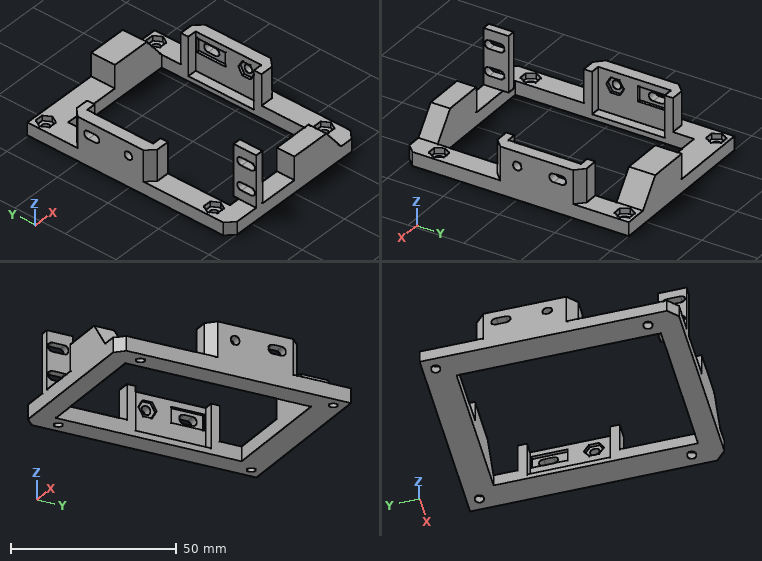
import cadquery as cq
import math

frame_width = 60.0
frame_length = 80.5
base_thickness = 5.0
side_rail = 8.0
front_rail = 7.0
rear_rail = 9.5
corner_chamfer = 3.0

hexagon_sides = 6
nut_across_flats = 5.4
nut_across_corners = nut_across_flats / math.cos(math.pi / hexagon_sides)

screw_diameter = 2.8
screw_inset = 4.0
front_screw_y = 10.0
base_nut_depth = 2.0

cradle_start_y = 31.5
cradle_length = 32.0
cradle_height = 12.0
cradle_chamfer = 3.0
cradle_wall = 4.5
cradle_end_wall = 3.0
cradle_recess_floor = 2.0
cradle_center_y = cradle_start_y + cradle_length / 2
cradle_top = base_thickness + cradle_height

wall_fixing_z = 12.0
wall_hole_diameter = 3.0
wall_hole_y = cradle_center_y - 7.0
wall_slot_length = 6.0
wall_slot_y = cradle_center_y + 7.5
wall_nut_depth = 1.0
slot_pocket_length = 11.4
slot_pocket_y = cradle_center_y + 6.9

block_start_x = frame_width / 2
block_end_x = frame_width - side_rail
block_top_length = 15.0
block_height = 9.0

tab_x = 12.0
tab_thickness = 3.0
tab_depth = 9.0
tab_height = 20.0
tab_slot_length = 7.0
tab_slot_height = 3.0
tab_slot_y = 4.0
tab_slot_spacing = 9.5
tab_center_z = base_thickness + tab_height / 2


def box(x, y, z, dx, dy, dz):
    """Box with its lowest corner at (x, y, z)."""
    return cq.Workplane("XY").box(dx, dy, dz, centered=False).translate((x, y, z))


def yz_plane(x, y, z):
    """Workplane facing +X with its origin at (x, y, z)."""
    return cq.Workplane("YZ", origin=(x, y, z))


def make_frame():
    outline = box(0, 0, 0, frame_width, frame_length, base_thickness)
    outline = outline.edges("|Z and <Y").chamfer(corner_chamfer)
    window_width = frame_width - 2 * side_rail
    window_length = frame_length - front_rail - rear_rail
    return outline.cut(box(side_rail, front_rail, 0, window_width, window_length, base_thickness))


def make_block(start_y, depth):
    """Rail block whose right end slopes down to the inner edge of the right rail."""
    block_top = base_thickness + block_height
    profile = [
        (block_start_x, base_thickness),
        (block_end_x, base_thickness),
        (block_start_x + block_top_length, block_top),
        (block_start_x, block_top),
    ]
    return cq.Workplane("XZ", origin=(0, start_y, 0)).polyline(profile).close().extrude(-depth)


def make_tab():
    tab = box(tab_x, 0, base_thickness, tab_thickness, tab_depth, tab_height)
    for side in (-1, 1):
        slot_z = tab_center_z + side * tab_slot_spacing / 2
        slot = yz_plane(tab_x, tab_slot_y, slot_z).slot2D(tab_slot_length, tab_slot_height)
        tab = tab.cut(slot.extrude(tab_thickness))
    return tab


def make_left_cradle():
    cradle = box(0, cradle_start_y, base_thickness, side_rail, cradle_length, cradle_height)
    return cradle.edges("|Z and <X").chamfer(cradle_chamfer)


def make_left_recess():
    """Recess open towards the window, reaching down into the base."""
    return box(
        cradle_wall,
        cradle_start_y + cradle_end_wall,
        cradle_recess_floor,
        side_rail - cradle_wall,
        cradle_length - 2 * cradle_end_wall,
        cradle_top - cradle_recess_floor,
    )


def make_left_fixings():
    """Hole and slot through the left cradle wall, with their nut pockets."""
    pocket_x = cradle_wall - wall_nut_depth
    hole = yz_plane(0, wall_hole_y, wall_fixing_z).circle(wall_hole_diameter / 2).extrude(cradle_wall)
    slot = yz_plane(0, wall_slot_y, wall_fixing_z).slot2D(wall_slot_length, wall_hole_diameter)
    nut = yz_plane(pocket_x, wall_hole_y, wall_fixing_z).polygon(hexagon_sides, nut_across_corners)
    slot_pocket = yz_plane(pocket_x, slot_pocket_y, wall_fixing_z).rect(slot_pocket_length, nut_across_flats)
    fixings = hole.union(slot.extrude(cradle_wall))
    return fixings.union(nut.extrude(wall_nut_depth)).union(slot_pocket.extrude(wall_nut_depth))


def mirror_to_right(shape):
    return shape.mirror("YZ", (frame_width / 2, 0, 0))


def make_screw_cuts():
    """Screw holes through the four corners of the base, with their nut pockets."""
    positions = [
        (x, y)
        for x in (screw_inset, frame_width - screw_inset)
        for y in (front_screw_y, frame_length - screw_inset)
    ]
    holes = cq.Workplane("XY").pushPoints(positions).circle(screw_diameter / 2).extrude(base_thickness)
    nuts = cq.Workplane("XY", origin=(0, 0, base_thickness)).pushPoints(positions)
    nuts = nuts.polygon(hexagon_sides, nut_across_corners).extrude(-base_nut_depth)
    return holes.union(nuts)


left_cradle = make_left_cradle()
left_cuts = make_left_recess().union(make_left_fixings())

result = make_frame()
result = result.union(make_block(0, front_rail))
result = result.union(make_block(frame_length - rear_rail, rear_rail))
result = result.union(make_tab())
result = result.union(left_cradle).union(mirror_to_right(left_cradle))
result = result.cut(left_cuts).cut(mirror_to_right(left_cuts))
result = result.cut(make_screw_cuts())